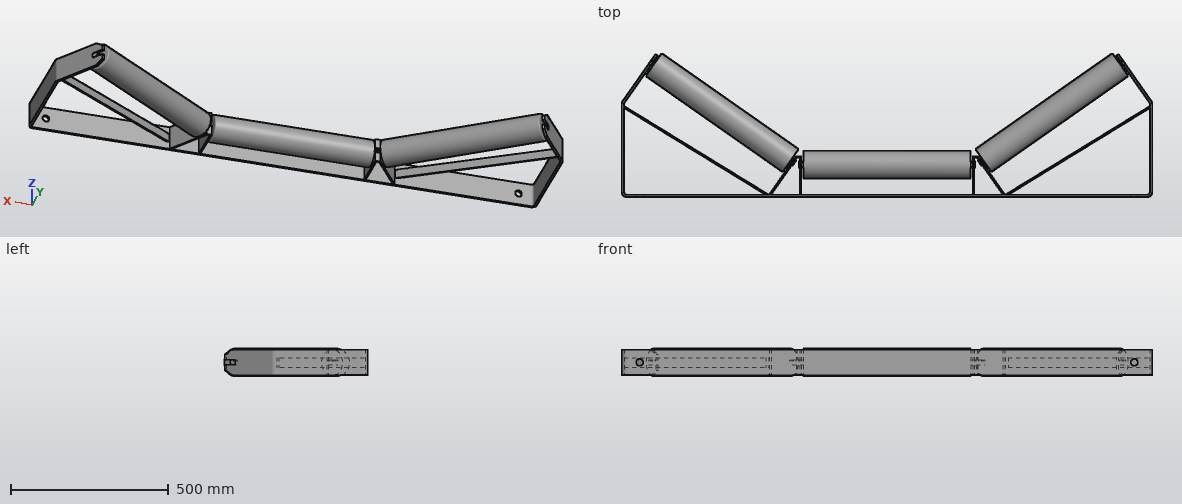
import cadquery as cq
import math

frame_length = 1680.0
bar_width = 80.0
bar_thickness = 8.0
bend_radius = 16.0
trough_angle = 35.0
wall_height = 300.0
overall_depth = 452.96

arm_chamfer_along = 25.0
arm_chamfer_across = 15.0

mounting_hole_diameter = 22.0
mounting_hole_edge_distance = 57.0

roller_diameter = 89.0
roller_length = 530.0
roller_edge_radius = 4.0
shaft_diameter = 20.0
shaft_flat_width = 16.0
support_gap = 542.0
centre_axis_height = 103.0
wing_axis_above_bend = 156.0

bracket_height = 130.0
bracket_thickness = 5.0

brace_width = 30.0
brace_thickness = 5.0
brace_wall_height = 288.0
brace_foot_x = 375.0

half_length = frame_length / 2
inner_wall_x = half_length - bar_thickness
angle = math.radians(trough_angle)
arm_length = (overall_depth - wall_height) / math.cos(angle)
inner_bend_height = wall_height - bar_thickness * math.tan(angle / 2)
shaft_length = support_gap + 2 * bar_thickness
bracket_x = support_gap / 2


def arm_point(distance, depth):
    """Point at a distance up the left arm from its bend and a depth inward from its outer face."""
    x = -half_length + distance * math.sin(angle) + depth * math.cos(angle)
    y = wall_height + distance * math.cos(angle) - depth * math.sin(angle)
    return (x, y)


arm_tip = arm_point(arm_length, 0)
wing_centre = arm_point(wing_axis_above_bend, bar_thickness + support_gap / 2)


def slab(points, width):
    """Straight prism of the given outline, centred on the mid plane."""
    return cq.Workplane("XY").polyline(points).close().extrude(width / 2, both=True)


def mirrored(body):
    return body.mirror("YZ")


def place_centre(body):
    return body.translate((0, centre_axis_height, 0))


def place_left(body):
    turned = body.rotate((0, 0, 0), (0, 0, 1), -trough_angle)
    return turned.translate((*wing_centre, 0))


def with_mirror_image(points):
    """The left half of an outline followed by its mirror image on the right."""
    return points + [(-x, y) for x, y in reversed(points)]


def shaft():
    """Round shaft with two flats, along X and centred on the origin."""
    bar = cq.Workplane("YZ").circle(shaft_diameter / 2).extrude(shaft_length / 2, both=True)
    flats = cq.Workplane("XY").box(shaft_length, shaft_diameter, shaft_flat_width)
    return bar.intersect(flats)


def roller():
    """Roller with rounded rims and its shaft, along X and centred on the origin."""
    drum = cq.Workplane("YZ").circle(roller_diameter / 2).extrude(roller_length)
    drum = drum.translate((-roller_length / 2, 0, 0))
    drum = drum.faces("<X or >X").edges().fillet(roller_edge_radius)
    return drum.union(shaft())


def shaft_slot():
    """Room for the seated shaft and its way in from the open side."""
    way_in = cq.Workplane("XY").box(shaft_length, roller_diameter, shaft_flat_width)
    way_in = way_in.translate((0, roller_diameter / 2, 0))
    return shaft().union(way_in)


def round_bend(strip, x, y, radius):
    """Round the upright edges at one place of the strip and at its mirror image."""
    reach = 1.0
    for side in (-1, 1):
        near = (side * x - reach, y - reach, -bar_width)
        far = (side * x + reach, y + reach, bar_width)
        strip = strip.edges("|Z").edges(cq.selectors.BoxSelector(near, far)).fillet(radius)
    return strip


def arm_corner_clip():
    """Two wedges that clip the corners at the tip of the left arm."""
    half_width = bar_width / 2
    wedge = (
        cq.Workplane("YZ")
        .polyline([(0, half_width), (0, half_width - arm_chamfer_across), (-arm_chamfer_along, half_width)])
        .close()
        .extrude(2 * bar_thickness, both=True)
    )
    wedges = wedge.union(wedge.mirror("XY"))
    return wedges.rotate((0, 0, 0), (0, 0, 1), -trough_angle).translate((*arm_tip, 0))


def outer_strip():
    """Base bar, end walls and sloping arms, bent from one flat bar."""
    outer = with_mirror_image([arm_tip, (-half_length, wall_height), (-half_length, 0)])
    inner = with_mirror_image([
        arm_point(arm_length, bar_thickness),
        (-inner_wall_x, inner_bend_height),
        (-inner_wall_x, bar_thickness),
    ])
    strip = slab(outer + inner[::-1], bar_width)

    inner_radius = bend_radius - bar_thickness
    strip = round_bend(strip, half_length, 0, bend_radius)
    strip = round_bend(strip, half_length, wall_height, bend_radius)
    strip = round_bend(strip, inner_wall_x, bar_thickness, inner_radius)
    strip = round_bend(strip, inner_wall_x, inner_bend_height, inner_radius)

    clip = arm_corner_clip()
    strip = strip.cut(clip).cut(mirrored(clip))

    hole_x = half_length - mounting_hole_edge_distance
    holes = (
        cq.Workplane("XZ")
        .pushPoints([(-hole_x, 0), (hole_x, 0)])
        .circle(mounting_hole_diameter / 2)
        .extrude(-bar_thickness)
    )
    return strip.cut(holes)


def bracket():
    """Left inner bracket: a slanted leg, a short flat top and an upright leg."""
    face_x, face_y = arm_point(0, bar_thickness + support_gap)
    slanted_thickness = bracket_thickness / math.cos(angle)
    under_top = bracket_height - bracket_thickness

    def slanted_leg_x(y):
        return face_x + (y - face_y) * math.tan(angle)

    return slab([
        (slanted_leg_x(bar_thickness), bar_thickness),
        (slanted_leg_x(bracket_height), bracket_height),
        (-bracket_x, bracket_height),
        (-bracket_x, bar_thickness),
        (-bracket_x - bracket_thickness, bar_thickness),
        (-bracket_x - bracket_thickness, under_top),
        (slanted_leg_x(under_top) + slanted_thickness, under_top),
        (slanted_leg_x(bar_thickness) + slanted_thickness, bar_thickness),
    ], bar_width)


def brace():
    """Left diagonal brace from the end wall down to the base bar."""
    slope = math.atan2(brace_wall_height - bar_thickness, inner_wall_x - brace_foot_x)
    return slab([
        (-inner_wall_x, brace_wall_height),
        (-brace_foot_x, bar_thickness),
        (-brace_foot_x - brace_thickness / math.sin(slope), bar_thickness),
        (-inner_wall_x, brace_wall_height - brace_thickness / math.cos(slope)),
    ], brace_width)


def frame():
    """Welded frame with open slots for the three shafts."""
    centre_slot = place_centre(shaft_slot())
    left_slot = place_left(shaft_slot())
    right_slot = mirrored(left_slot)
    members = [outer_strip(), bracket(), mirrored(bracket()), brace(), mirrored(brace())]
    slotted = [member.cut(centre_slot).cut(left_slot).cut(right_slot) for member in members]
    welded = slotted[0]
    for member in slotted[1:]:
        welded = welded.union(member)
    return welded


frame_body = frame()
centre_roller = place_centre(roller())
left_roller = place_left(roller())
right_roller = mirrored(left_roller)

result = cq.Compound.makeCompound([
    frame_body.val(),
    centre_roller.val(),
    left_roller.val(),
    right_roller.val(),
])